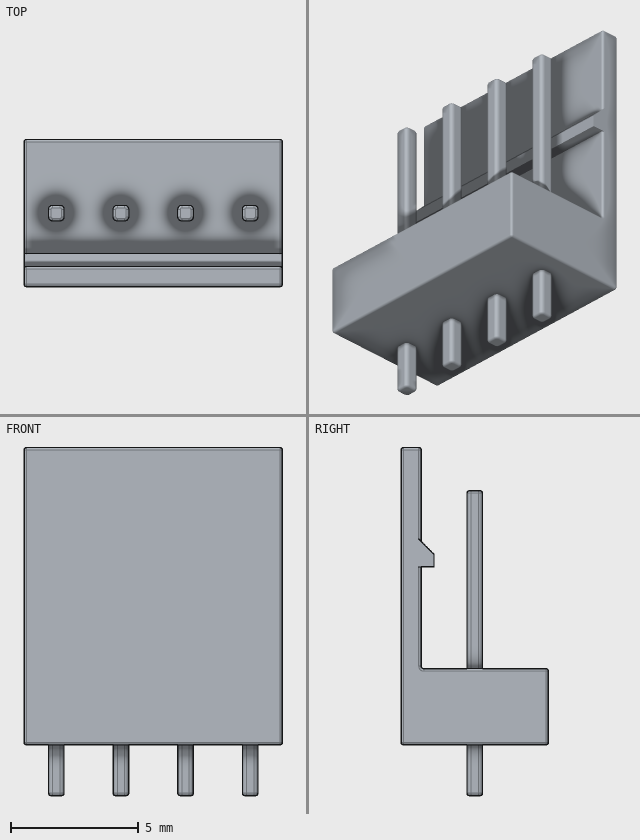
import cadquery as cq

width = 10.17
depth = 5.8
base_height = 3.0
body_height = 11.7
wall_thickness = 0.8
edge_radius = 0.1

latch_bottom = 7.0
latch_projection = 0.51
latch_flat = 0.5

pin_count = 4
pin_pitch = width / pin_count
pin_width = 0.62
pin_center_y = depth / 2
pin_below_base = 2.0
pin_above_base = 7.0
pin_length = pin_below_base + base_height + pin_above_base
pin_edge_radius = 0.16
pin_end_radius = 0.1


def make_body():
    """L profile in the YZ plane, underside at Z = 0, every edge softened."""
    profile = [
        (0, 0),
        (depth, 0),
        (depth, base_height),
        (wall_thickness, base_height),
        (wall_thickness, body_height),
        (0, body_height),
    ]
    body = cq.Workplane("YZ").polyline(profile).close().extrude(width / 2, both=True)
    return body.edges().fillet(edge_radius)


def make_latch():
    """Ridge with a flat underside and a 45 degree lead-in on top."""
    tip_y = wall_thickness + latch_projection
    root_y = wall_thickness / 2
    flat_top = latch_bottom + latch_flat
    profile = [
        (root_y, latch_bottom),
        (tip_y, latch_bottom),
        (tip_y, flat_top),
        (root_y, flat_top + tip_y - root_y),
    ]
    return cq.Workplane("YZ").polyline(profile).close().extrude(width / 2, both=True)


def make_pin():
    """Square pin on the Z axis with rounded long edges and rounded ends."""
    pin = cq.Workplane("XY").rect(pin_width, pin_width).extrude(pin_length)
    pin = pin.edges("|Z").fillet(pin_edge_radius)
    pin = pin.faces("<Z or >Z").edges().fillet(pin_end_radius)
    return pin.translate((0, 0, -pin_below_base))


def add_pins(part):
    """Join the row of pins, centred on the width of the housing."""
    first_pin_x = -pin_pitch * (pin_count - 1) / 2
    for index in range(pin_count):
        pin_x = first_pin_x + index * pin_pitch
        part = part.union(make_pin().translate((pin_x, pin_center_y, 0)))
    return part


result = add_pins(make_body().union(make_latch()))